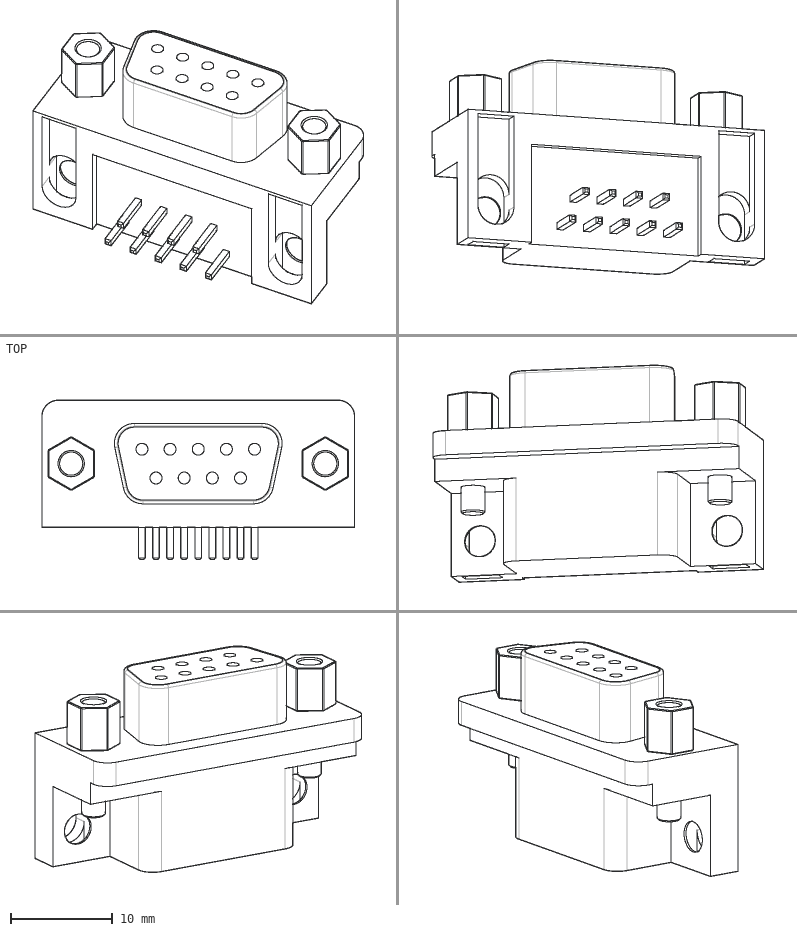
import cadquery as cq
import math


LENGTH = 30.8
TOP_Z = 12.95
BODY_DEPTH = 10.35
FLANGE_DEPTH = 12.55
FLANGE_THICKNESS = 2.43
WING_BOTTOM_Z = 8.3
LEG_DEPTH = 3.35
BACK_CORNER_RADIUS = 1.63

RECESS_WIDTH = 17.6
RECESS_HEIGHT = 9.85
RECESS_DEPTH = 0.9
CORE_WIDTH = RECESS_WIDTH

STATION_X = 12.5
STATIONS = (-STATION_X, STATION_X)

SLOT_WIDTH = 3.73
SLOT_TOP_Z = 12.57
SLOT_DEPTH = 1.55
POCKET_DEPTH = 3.1
POCKET_LOW_Z = 3.42
POCKET_HIGH_Z = 5.0
LEG_HOLE_DIAMETER = 3.08

SHELL_CENTER_Y = 6.3
SHELL_WIDTH = 17.45
SHELL_DEPTH = 7.92
SHELL_TOP_Z = 19.07
SHELL_SIDE_ANGLE = math.radians(12)
SHELL_CORNER_RADIUS = 1.97
SHELL_RIM_RADIUS = 0.28
INSERT_MARGIN = 0.37
INSERT_SETBACK = 0.03

LONG_ROW_COUNT = 5
SHORT_ROW_COUNT = 4
CONTACT_PITCH = 2.77
CONTACT_ROW_PITCH = 2.83
CONTACT_HOLE_DIAMETER = 1.17
CONTACT_HOLE_DEPTH = SHELL_TOP_Z - TOP_Z
TAIL_SIZE = 0.68
TAIL_REACH = 3.17
TAIL_TIP_CHAMFER = 0.2
TAIL_LOW_Z = 2.0
TAIL_ROW_PITCH = 2.85

HEX_ACROSS_FLATS = 4.6
HEX_HEIGHT = 4.47
HEX_EDGE_CHAMFER = 0.1
SHANK_DIAMETER = 2.35
SHANK_TIP_Z = 5.67
SHANK_TIP_CHAMFER = 0.15
BORE_DIAMETER = 2.28
BORE_DEPTH = 3.7
BORE_CHAMFER = 0.15


def block(width, y_min, y_max, z_min, z_max):
    """Box centred on X = 0."""
    size = (width, y_max - y_min, z_max - z_min)
    return cq.Workplane().box(*size, centered=(True, False, False)).translate((0, y_min, z_min))


def row_positions(count):
    """X positions of one contact row, centred on X = 0."""
    return [(i - (count - 1) / 2) * CONTACT_PITCH for i in range(count)]


def board_plane(y):
    """XZ workplane at depth y, with its normal toward +Y and local axes (-X, Z)."""
    return cq.Workplane(cq.Plane(origin=(0, y, 0), xDir=(-1, 0, 0), normal=(0, 1, 0)))


def housing_body():
    """Wings, rear flange, two legs and the rounded core between them."""
    wings = block(LENGTH, 0, BODY_DEPTH, WING_BOTTOM_Z, TOP_Z)
    legs = block(LENGTH, 0, LEG_DEPTH, 0, WING_BOTTOM_Z)
    flange = block(LENGTH, 0, FLANGE_DEPTH, TOP_Z - FLANGE_THICKNESS, TOP_Z)
    flange = flange.edges("|Z and >Y").fillet(BACK_CORNER_RADIUS)
    core = block(CORE_WIDTH, 0, BODY_DEPTH, 0, WING_BOTTOM_Z)
    core = core.edges("|Z and >Y").fillet(BACK_CORNER_RADIUS)
    recess = block(RECESS_WIDTH, 0, RECESS_DEPTH, 0, RECESS_HEIGHT)
    return wings.union(legs).union(flange).union(core).cut(recess)


def shell_prism(margin, z_min, z_max):
    """Rounded trapezoid, wide side toward +Y, drawn in from the shell outline by a margin."""
    back_half = SHELL_WIDTH / 2
    front_half = back_half - SHELL_DEPTH * math.tan(SHELL_SIDE_ANGLE)
    back_y = SHELL_CENTER_Y + SHELL_DEPTH / 2
    front_y = SHELL_CENTER_Y - SHELL_DEPTH / 2
    corners = [(-back_half, back_y), (-front_half, front_y), (front_half, front_y), (back_half, back_y)]
    prism = cq.Workplane().workplane(offset=z_min).polyline(corners).close()
    if margin > 0:
        prism = prism.offset2D(-margin)
    return prism.extrude(z_max - z_min).edges("|Z").fillet(SHELL_CORNER_RADIUS - margin)


def shell():
    """D-shaped shell with a rounded rim and its insert face set slightly below the rim."""
    solid = shell_prism(0, TOP_Z, SHELL_TOP_Z).faces(">Z").edges().fillet(SHELL_RIM_RADIUS)
    return solid.cut(shell_prism(INSERT_MARGIN, SHELL_TOP_Z - INSERT_SETBACK, SHELL_TOP_Z))


def contact_holes():
    """Blind socket holes: the longer row lies toward +Y."""
    back_y = SHELL_CENTER_Y + CONTACT_ROW_PITCH / 2
    front_y = SHELL_CENTER_Y - CONTACT_ROW_PITCH / 2
    points = [(x, back_y) for x in row_positions(LONG_ROW_COUNT)]
    points += [(x, front_y) for x in row_positions(SHORT_ROW_COUNT)]
    top = cq.Workplane().workplane(offset=SHELL_TOP_Z).pushPoints(points)
    return top.circle(CONTACT_HOLE_DIAMETER / 2).extrude(-CONTACT_HOLE_DEPTH)


def contact_tails():
    """Square solder tails from the recess floor: the longer row is the lower one."""
    points = [(x, TAIL_LOW_Z) for x in row_positions(LONG_ROW_COUNT)]
    points += [(x, TAIL_LOW_Z + TAIL_ROW_PITCH) for x in row_positions(SHORT_ROW_COUNT)]
    tails = board_plane(RECESS_DEPTH).pushPoints(points).rect(TAIL_SIZE, TAIL_SIZE)
    tails = tails.extrude(-(RECESS_DEPTH + TAIL_REACH))
    return tails.faces("<Y").chamfer(TAIL_TIP_CHAMFER)


def obround(depth):
    """Upright obround pocket cut in from the board face."""
    length = POCKET_HIGH_Z - POCKET_LOW_Z + SLOT_WIDTH
    center_z = (POCKET_LOW_Z + POCKET_HIGH_Z) / 2
    return board_plane(0).center(0, center_z).slot2D(length, SLOT_WIDTH, 90).extrude(depth)


def leg_slot(x):
    """Round-bottomed channel, deeper clip pocket open at the bottom, and through hole of one leg."""
    channel = block(SLOT_WIDTH, 0, SLOT_DEPTH, POCKET_LOW_Z, SLOT_TOP_Z)
    clip_drop = block(SLOT_WIDTH, SLOT_DEPTH, POCKET_DEPTH, 0, POCKET_LOW_Z)
    hole = board_plane(0).center(0, POCKET_LOW_Z).circle(LEG_HOLE_DIAMETER / 2).extrude(LEG_DEPTH)
    slot = channel.union(obround(POCKET_DEPTH)).union(clip_drop).union(hole)
    return slot.translate((x, 0, 0))


def shank_hole(x):
    """Hole through a wing that the jack screw shank fills."""
    start = cq.Workplane().workplane(offset=WING_BOTTOM_Z).center(x, SHELL_CENTER_Y)
    return start.circle(SHANK_DIAMETER / 2).extrude(TOP_Z - WING_BOTTOM_Z)


def connector():
    """Housing with its shell and contacts, as one solid."""
    solid = housing_body().union(shell()).union(contact_tails()).cut(contact_holes())
    for x in STATIONS:
        solid = solid.cut(leg_slot(x)).cut(shank_hole(x))
    return solid


def jack_screw(x):
    """Hex post with a blind bore on top and a plain shank below."""
    across_corners = HEX_ACROSS_FLATS / math.cos(math.pi / 6)
    post = cq.Workplane().polygon(6, across_corners).extrude(HEX_HEIGHT)
    post = post.rotate((0, 0, 0), (0, 0, 1), 30).edges().chamfer(HEX_EDGE_CHAMFER)
    bore = cq.Workplane().workplane(offset=HEX_HEIGHT).circle(BORE_DIAMETER / 2).extrude(-BORE_DEPTH)
    post = post.cut(bore).faces(">Z").edges("%CIRCLE").chamfer(BORE_CHAMFER)
    shank = cq.Workplane().circle(SHANK_DIAMETER / 2).extrude(SHANK_TIP_Z - TOP_Z)
    shank = shank.faces("<Z").chamfer(SHANK_TIP_CHAMFER)
    return post.union(shank).translate((x, SHELL_CENTER_Y, TOP_Z))


housing = connector()
jack_screws = [jack_screw(x) for x in STATIONS]

result = cq.Compound.makeCompound([housing.val(), *[screw.val() for screw in jack_screws]])